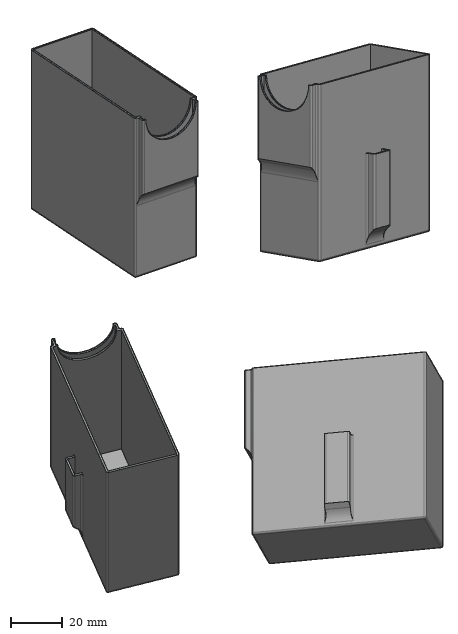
import cadquery as cq
import math

total_length = 73.3
body_length = 70.0
body_width = 30.0
total_width = 33.8
height = 71.2
wall = 0.8
edge_radius = 0.7

sleeve_width = 27.0
sleeve_outer_bottom = 38.25
notch_radius = 12.1

holder_width = 10.1
holder_top = 38.5
holder_outer_bottom = 8.5

underside_blend_radius = 7.0
half_slope_angle = math.radians(45) / 2

sleeve_depth = total_length - body_length
holder_depth = total_width - body_width


def make_body():
    """Solid outer block, rounded on its upright and lower edges."""
    block = cq.Workplane("XY").box(body_length, body_width, height, centered=(True, True, False))
    return block.edges("|Z or <Z").fillet(edge_radius)


def make_pocket_shell(width, depth, top, outer_bottom):
    """Outer pocket form on the plane X = 0, projecting along +X over a blended 45 degree underside."""
    slope_foot = outer_bottom - depth
    tangent_length = underside_blend_radius * math.tan(half_slope_angle)
    blend_end = tangent_length * math.sqrt(0.5)
    arc_middle = (
        underside_blend_radius * (1 - math.cos(half_slope_angle)),
        slope_foot - tangent_length + underside_blend_radius * math.sin(half_slope_angle),
    )
    side = (
        cq.Workplane("XZ")
        .moveTo(-wall, top)
        .lineTo(depth, top)
        .lineTo(depth, outer_bottom)
        .lineTo(blend_end, slope_foot + blend_end)
        .threePointArc(arc_middle, (0, slope_foot - tangent_length))
        .lineTo(-wall, slope_foot - tangent_length)
        .close()
        .extrude(width / 2 + edge_radius, both=True)
    )
    half = width / 2
    diagonal = edge_radius * (1 - math.sqrt(0.5))
    plan = (
        cq.Workplane("XY")
        .moveTo(-wall, -half - edge_radius)
        .lineTo(0, -half - edge_radius)
        .threePointArc((diagonal, -half - diagonal), (edge_radius, -half))
        .lineTo(depth - edge_radius, -half)
        .threePointArc((depth - diagonal, -half + diagonal), (depth, -half + edge_radius))
        .lineTo(depth, half - edge_radius)
        .threePointArc((depth - diagonal, half - diagonal), (depth - edge_radius, half))
        .lineTo(edge_radius, half)
        .threePointArc((diagonal, half + diagonal), (0, half + edge_radius))
        .lineTo(-wall, half + edge_radius)
        .close()
        .extrude(height)
    )
    return side.intersect(plan)


def make_pocket_space(width, depth, top, outer_bottom):
    """Flat-floored opening inside a pocket, between the mounting face and the outer wall."""
    return (
        cq.Workplane("XY", origin=(0, 0, outer_bottom))
        .box(depth - wall, width - 2 * wall, top - outer_bottom, centered=(False, True, False))
    )


def place_on_sleeve_side(shape):
    return shape.translate((body_length / 2, 0, 0))


def place_on_holder_side(shape):
    return shape.rotate((0, 0, 0), (0, 0, 1), 90).translate((0, body_width / 2, 0))


def make_cavity():
    """Main open-topped interior."""
    return (
        cq.Workplane("XY", origin=(0, 0, wall))
        .box(body_length - 2 * wall, body_width - 2 * wall, height, centered=(True, True, False))
    )


def make_notch():
    """Semicircular finger notch through both walls of the sleeve side."""
    return (
        cq.Workplane("YZ", origin=(body_length / 2 - 2 * wall, 0, height))
        .circle(notch_radius)
        .extrude(sleeve_depth + 3 * wall)
    )


sleeve = (sleeve_width, sleeve_depth, height, sleeve_outer_bottom)
holder = (holder_width, holder_depth, holder_top, holder_outer_bottom)

result = (
    make_body()
    .union(place_on_sleeve_side(make_pocket_shell(*sleeve)))
    .union(place_on_holder_side(make_pocket_shell(*holder)))
    .cut(make_cavity())
    .cut(place_on_sleeve_side(make_pocket_space(*sleeve)))
    .cut(place_on_holder_side(make_pocket_space(*holder)))
    .cut(make_notch())
)